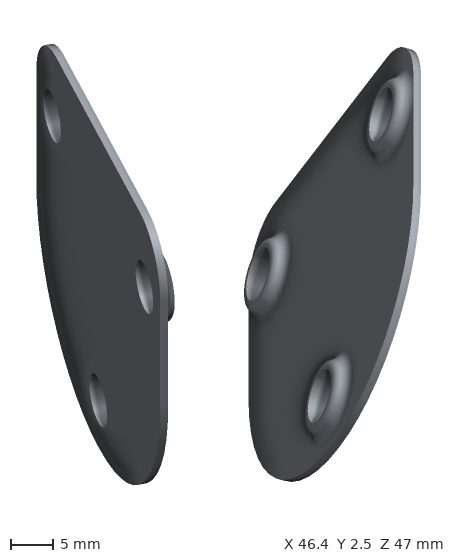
import cadquery as cq
import math

plate_width = 46.44
plate_height = 47.0
plate_thickness = 1.0
top_corner_radius = 7.5
bottom_corner_radius = 23.0

hole_count = 3
hole_diameter = 6.6
hole_circle_radius = 20.0
first_hole_angle = -90.0
bottom_edge_margin = 7.0

boss_height = 1.5
boss_flat_radius = 3.7
boss_rim_radius = 1.0
boss_base_radius = 1.5

bottom_z = -(hole_circle_radius + bottom_edge_margin)
plate_center_z = bottom_z + plate_height / 2
total_thickness = plate_thickness + boss_height


def make_plate(thickness):
    """Plate of the given thickness; its large lower corner radii nearly meet in the middle."""
    plate = (
        cq.Workplane("XZ")
        .center(0, plate_center_z)
        .rect(plate_width, plate_height)
        .extrude(-thickness)
    )
    plate = plate.edges("|Y and >Z").fillet(top_corner_radius)
    return plate.edges("|Y and <Z").fillet(bottom_corner_radius)


def make_boss():
    """Boss about the Y axis: a convex rim arc runs tangentially into a concave base arc."""
    turn_angle = math.acos(1 - boss_height / (boss_rim_radius + boss_base_radius))
    base_outer_radius = boss_flat_radius + (boss_rim_radius + boss_base_radius) * math.sin(turn_angle)

    def rim_point(angle):
        radius = boss_flat_radius + boss_rim_radius * math.sin(angle)
        y = total_thickness - boss_rim_radius * (1 - math.cos(angle))
        return (radius, y)

    def base_point(angle):
        radius = base_outer_radius - boss_base_radius * math.sin(angle)
        y = plate_thickness + boss_base_radius * (1 - math.cos(angle))
        return (radius, y)

    profile = (
        cq.Workplane("XY")
        .moveTo(0, plate_thickness)
        .lineTo(0, total_thickness)
        .lineTo(boss_flat_radius, total_thickness)
        .threePointArc(rim_point(turn_angle / 2), rim_point(turn_angle))
        .threePointArc(base_point(turn_angle / 2), base_point(0))
        .close()
    )
    return profile.revolve(360, (0, 0, 0), (0, 1, 0))


def make_hole():
    """Cylinder about the Y axis that passes through plate and boss."""
    return cq.Workplane("XZ").circle(hole_diameter / 2).extrude(-total_thickness)


def hole_positions():
    """Hole centres, equally spaced around the hole circle."""
    positions = []
    for index in range(hole_count):
        angle = math.radians(first_hole_angle + index * 360 / hole_count)
        x = hole_circle_radius * math.cos(angle)
        z = hole_circle_radius * math.sin(angle)
        positions.append((x, 0, z))
    return positions


result = make_plate(plate_thickness)
for position in hole_positions():
    result = result.union(make_boss().translate(position))
    result = result.cut(make_hole().translate(position))

result = cq.Workplane(result.intersect(make_plate(total_thickness)).solids().val())